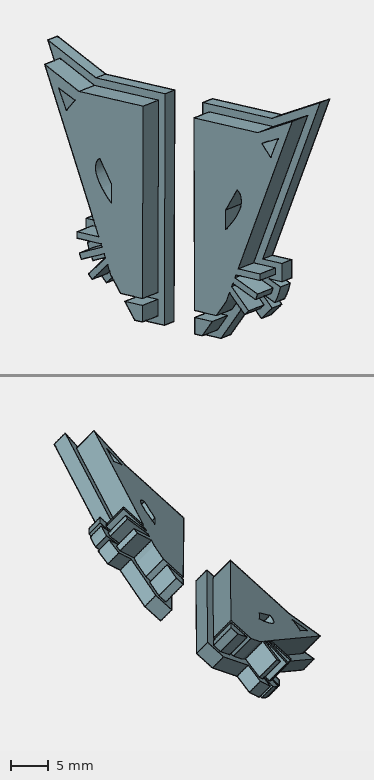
import cadquery as cq
import math

backing_thickness = 2.15
panel_thickness = 3.35

backing_outline = [
    (-22.75, 35.9),
    (-14.7, 32.2),
    (-3.15, 32.2),
    (-3.27, 0.0),
    (-6.2, 0.0),
    (-10.6, 6.1),
]
border = 1.1

chin_groove_bottom = 3.4
chin_groove_height = 0.95

whisker_hub = (-7.7, 11.1)
straight_whisker_angles = [0, 45]
round_whisker_angle = 22
whisker_reach = 8.7
backing_whisker_width = 2.55
panel_whisker_width = 0.9

ear_recess_points = [(-18.32, 30.9), (-15.6, 29.75), (-17.05, 28.05)]
eye_inner_corners = [(-9.55, 16.65), (-9.55, 19.32), (-11.45, 22.45)]
eye_outer_upper = (-12.05, 21.8)
eye_outer_middle = (-12.0, 20.1)
eye_outer_lower = (-11.1, 18.4)
eye_brow_radius = 1.3
eye_outer_diameter = 5.05


def face_plane(back):
    """Workplane with local axes X and Z, whose extrusions run toward -Y from Y = back."""
    return cq.Workplane("XZ", origin=(0, back, 0))


def whisker(angle, reach, width, back, thickness, round_tip):
    """Bar from the hub outward, tilted down by the angle, with a flat tip or one round about the hub."""
    half_width = width / 2
    tip_corner = math.sqrt(reach**2 - half_width**2) if round_tip else reach
    bar = face_plane(back).center(*whisker_hub).transformed(rotate=(0, 0, angle))
    bar = bar.moveTo(0, half_width).lineTo(-tip_corner, half_width)
    if round_tip:
        bar = bar.threePointArc((-reach, 0), (-tip_corner, -half_width))
    else:
        bar = bar.lineTo(-tip_corner, -half_width)
    return bar.lineTo(0, -half_width).close().extrude(thickness)


def add_whiskers(body, reach, width, back, thickness):
    for angle in straight_whisker_angles:
        body = body.union(whisker(angle, reach, width, back, thickness, False))
    return body.union(whisker(round_whisker_angle, reach, width, back, thickness, True))


def backing():
    plate = face_plane(backing_thickness).polyline(backing_outline).close().extrude(backing_thickness)
    return add_whiskers(plate, whisker_reach, backing_whisker_width, backing_thickness, backing_thickness)


def chin_groove():
    """Slot right across the panel, as wide as the whole half face."""
    face_width = -backing_outline[0][0]
    return (
        face_plane(0)
        .moveTo(-face_width, chin_groove_bottom)
        .rect(face_width, chin_groove_height, centered=False)
        .extrude(panel_thickness)
    )


def ear_recess():
    return face_plane(0).polyline(ear_recess_points).close().extrude(panel_thickness)


def eye_recess():
    """Eye with straight inner edges and an outer edge of arcs that flatten toward the lower corner."""
    lower, middle, top = eye_inner_corners
    return (
        face_plane(0)
        .moveTo(*eye_outer_upper)
        .radiusArc(eye_outer_middle, -eye_outer_diameter / 2)
        .tangentArcPoint(eye_outer_lower, relative=False)
        .tangentArcPoint(lower, relative=False)
        .lineTo(*middle)
        .lineTo(*top)
        .radiusArc(eye_outer_upper, -eye_brow_radius)
        .close()
        .extrude(panel_thickness)
    )


def panel():
    raised = (
        face_plane(0)
        .polyline(backing_outline)
        .close()
        .offset2D(-border, "intersection")
        .extrude(panel_thickness)
        .cut(chin_groove())
    )
    raised = add_whiskers(raised, whisker_reach - border, panel_whisker_width, 0, panel_thickness)
    return raised.cut(ear_recess()).cut(eye_recess())


left_half = backing().union(panel())
right_half = left_half.mirror("YZ")

result = cq.Compound.makeCompound([left_half.val(), right_half.val()])